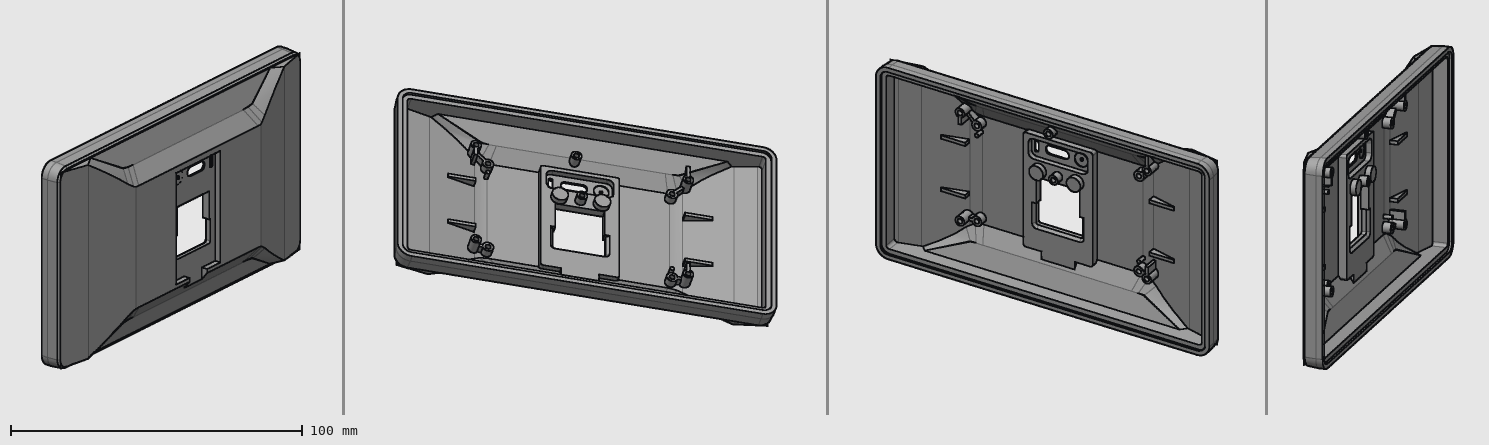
import cadquery as cq
import math


length = 133.8
height = 76.3
depth = 15.3
corner_radius = 5.0
rim_straight_depth = 2.5
rim_draft_depth = 6.5
rim_depth = 7.4
draft_inset = 0.4
rim_back_inset = 0.7

recess_border = 1.7
recess_depth = 1.0
opening_border = 3.6
opening_depth = 6.3
opening_radius = 1.2
opening_half_length = length / 2 - opening_border
opening_half_height = height / 2 - opening_border

floor_depth = 13.1
floor_bend_radius = 18.7
outer_end_profile = [(rim_depth, 65.5), (9.9, 53.8), (depth, 34.3)]
inner_end_profile = [(5.9, opening_half_length), (6.2, 62.2), (8.3, 53.8), (floor_depth, 34.5)]
outer_side_profile = [(rim_depth, 36.7), (10.7, 28.5)]
inner_side_profile = [(opening_depth, opening_half_height), (9.5, 27.3)]

outer_wall_lines = [
    ((10.7, 30.2, 28.5), (depth, 32.8, 22.7)),
    ((10.7, 32.9, 28.6), (depth, 35.3, 22.9)),
    ((10.6, 35.5, 29.0), (depth, 38.1, 23.8)),
    ((rim_depth, 49.2, 36.7), (depth, 63.4, 35.5)),
    ((rim_depth, length / 2, 36.7), (depth, length / 2, 35.5)),
]
inner_wall_lines = [
    ((9.5, 29.8, 27.3), (floor_depth, 31.6, 21.5)),
    ((9.5, 32.5, 27.3), (floor_depth, 35.0, 21.8)),
    ((9.5, 34.8, 27.5), (floor_depth, 39.2, 22.9)),
    ((opening_depth, 51.1, opening_half_height), (floor_depth, 57.3, opening_half_height)),
    ((opening_depth, length / 2, opening_half_height), (floor_depth, length / 2, opening_half_height)),
]

pad_front = 10.2
pad_back = 13.0
pad_half_width = 13.9
pad_top = 22.3
pad_bottom = -23.1
pad_corner_radius = 1.0
tab_half_width = 6.7
tab_bottom = -26.8
back_recess_border = 1.9

pocket_center_z = 16.7
pocket_width = 23.8
pocket_height = 8.0
pocket_radius = 2.3
pocket_depth = 2.1
long_slot_y = 1.6
long_slot_size = (9.4, 3.5)
short_slot_y = 9.9
short_slot_size = (1.6, 4.4)
slot_end_share = 0.49
dimple_y = -8.0
dimple_diameter = 5.4
dimple_depth = 0.3
dimple_hole_diameter = 1.1

window_top = 5.9
window_step = -4.7
window_bottom = -13.6
window_upper_half_width = 8.7
window_lower_half_width = 9.4
window_radius = 0.8
window_chamfer = 1.1
flare_share = 0.99

tall_boss_diameter = 3.6
low_boss_diameter = 3.9
boss_bore_diameter = 1.9
boss_bore_depth = 2.0
tall_boss_front = 7.1
low_boss_front = 10.0
boss_z = 19.0
outer_boss_y = 37.5
outer_boss_top_z = 24.1
inner_boss_y = 32.5
side_boss_position = (2.0, 26.6)
pad_boss_position = (0.0, 8.8)
rib_thickness = 1.2
ribs = [
    (outer_boss_y, outer_boss_top_z, 19.5),
    (-outer_boss_y, outer_boss_top_z, 30.1),
    (-outer_boss_y, -boss_z, -14.2),
]
pin_diameter = 1.5
pin_z = 15.1
fin_front = 9.6
fin_thickness = 1.3
fin_z = 10.5
fin_inner_y = 36.9
fin_outer_y = 46.7

disc_diameter = 5.6
disc_height = 2.1
disc_y = 7.5
disc_z = 8.8


def plane_at(x):
    """Workplane facing +X at depth x, with Y and Z as its own axes."""
    return cq.Workplane("YZ", origin=(x, 0, 0))


def box_between(x_range, y_range, z_range):
    """Box given by its lower and upper limits along each axis."""
    sizes = [limits[1] - limits[0] for limits in (x_range, y_range, z_range)]
    corner = (x_range[0], y_range[0], z_range[0])
    return cq.Workplane("XY").box(*sizes, centered=False).translate(corner)


def rounded_block(x_front, x_back, border, radius, back_inset=0):
    """Rounded block over the housing outline less a border, drawn in by back_inset at its back."""
    outline = cq.Sketch().rect(length - 2 * border, height - 2 * border).vertices().fillet(radius)
    block_depth = x_back - x_front
    taper = math.degrees(math.atan2(back_inset, block_depth))
    return plane_at(x_front).placeSketch(outline).extrude(block_depth, taper=taper)


def mirrored(profile):
    """Profile followed by its mirror image, as one closed outline."""
    return profile + [(x, -side) for x, side in reversed(profile)]


def end_prism(profile):
    """Full-height prism whose two ends slope in to the floor."""
    return cq.Workplane("XY").polyline(mirrored(profile)).close().extrude(height / 2, both=True)


def side_prism(profile):
    """Full-length prism whose two long sides slope in."""
    return cq.Workplane("XZ").polyline(mirrored(profile)).close().extrude(length / 2, both=True)


def wall_section(front, back, side):
    """Flat four-sided section through the body, spanned by a wall line and its image at -Z."""
    corners = [(x, side * y, z) for x, y, z in (front, back)]
    corners += [(x, y, -z) for x, y, z in reversed(corners)]
    return cq.Wire.makePolygon([cq.Vector(*corner) for corner in corners], close=True)


def waisted_body(wall_lines):
    """Body with ruled walls, narrow in the middle and widening to full height at both ends."""
    sections = [wall_section(*line, -1) for line in reversed(wall_lines)]
    sections += [wall_section(*line, 1) for line in wall_lines]
    return cq.Workplane(cq.Solid.makeLoft(sections, True))


def build_outside():
    """Housing without its cavity."""
    draft_radius = corner_radius - draft_inset
    rim = rounded_block(0, rim_straight_depth, 0, corner_radius)
    rim = rim.union(rounded_block(rim_straight_depth, rim_draft_depth, 0, corner_radius, draft_inset))
    rim = rim.union(rounded_block(rim_draft_depth, rim_depth, draft_inset, draft_radius, rim_back_inset))
    back = waisted_body(outer_wall_lines).union(side_prism(outer_side_profile))
    return rim.union(back.intersect(end_prism(outer_end_profile)))


def build_cavity():
    """Space inside the housing, with the shallow recess around the opening."""
    recess = rounded_block(0, recess_depth, recess_border, corner_radius - recess_border)
    opening = rounded_block(0, opening_depth, opening_border, opening_radius)
    ends = end_prism(inner_end_profile).edges("|Z and >X").fillet(floor_bend_radius)
    back = waisted_body(inner_wall_lines).union(side_prism(inner_side_profile)).intersect(ends)
    return recess.union(opening).union(back)


def build_pad():
    """Raised pad with a tab that runs into the bottom wall."""
    pad = box_between(
        (pad_front, depth), (-pad_half_width, pad_half_width), (pad_bottom, pad_top)
    ).edges("|X").fillet(pad_corner_radius)
    tab = box_between((pad_front, depth), (-tab_half_width, tab_half_width), (tab_bottom, 0))
    return pad.union(tab)


def back_recess():
    """Hollow behind the pad and its tab, open at the back and at the bottom wall."""
    border = back_recess_border
    hollow = box_between(
        (pad_back, depth),
        (border - pad_half_width, pad_half_width - border),
        (pad_bottom + border, pad_top - border),
    )
    channel_half_width = tab_half_width - border
    channel = box_between((pad_back, depth), (-channel_half_width, channel_half_width), (-height / 2, 0))
    return hollow.union(channel)


def upright_slot(y, size):
    """Slot with round ends through the pad, centred at y in the pocket."""
    width, tall = size
    slot = plane_at(pad_front).center(y, pocket_center_z).rect(width, tall).extrude(depth - pad_front)
    return slot.edges("|X").fillet(slot_end_share * min(size))


def pad_pocket():
    """Pocket in the top of the pad with two slots and a dimple with a small hole."""
    pocket = plane_at(pad_front).center(0, pocket_center_z).rect(pocket_width, pocket_height)
    pocket = pocket.extrude(pocket_depth).edges("|X").fillet(pocket_radius)
    dimple = plane_at(pad_front).center(dimple_y, pocket_center_z).circle(dimple_diameter / 2)
    dimple_hole = plane_at(pad_front).center(dimple_y, pocket_center_z).circle(dimple_hole_diameter / 2)
    cut = pocket.union(dimple.extrude(pocket_depth + dimple_depth))
    cut = cut.union(dimple_hole.extrude(depth - pad_front))
    for y, size in ((long_slot_y, long_slot_size), (short_slot_y, short_slot_size)):
        cut = cut.union(upright_slot(y, size))
    return cut


def pad_window():
    """Stepped window through the pad, with its wider lower part flared towards the front."""
    upper = box_between(
        (pad_front, depth), (-window_upper_half_width, window_upper_half_width), (window_step, window_top)
    )
    lower = box_between(
        (pad_front, depth), (-window_lower_half_width, window_lower_half_width), (window_bottom, window_step)
    ).edges("|X and <Z").fillet(window_radius)
    flare_half_width = window_lower_half_width + window_chamfer
    flare = box_between(
        (pad_front, pad_front + window_chamfer),
        (-flare_half_width, flare_half_width),
        (window_bottom - window_chamfer, window_step),
    )
    flare = flare.edges("|X and <Z").fillet(window_radius + window_chamfer)
    flare = flare.faces(">X").edges("not >Z").chamfer(flare_share * window_chamfer)
    return upper.union(lower).union(flare)


def post(x_front, y, z, diameter):
    """Round post from x_front to the back of the housing."""
    return plane_at(x_front).center(y, z).circle(diameter / 2).extrude(depth - x_front)


def web(x_front, start, end):
    """Thin upright wall between two (Y, Z) points, from x_front to the back of the housing."""
    run_y = end[0] - start[0]
    run_z = end[1] - start[1]
    middle = ((start[0] + end[0]) / 2, (start[1] + end[1]) / 2)
    angle = math.degrees(math.atan2(run_z, run_y))
    outline = cq.Sketch().rect(math.hypot(run_y, run_z), rib_thickness, angle=angle)
    return plane_at(x_front).center(*middle).placeSketch(outline).extrude(depth - x_front)


def tall_boss_places():
    """Y and Z of every boss that reaches furthest forward."""
    outer_places = [(side * outer_boss_y, z) for side in (-1, 1) for z in (-boss_z, outer_boss_top_z)]
    return [side_boss_position, pad_boss_position, *outer_places]


def low_boss_places():
    """Y and Z of every boss nearer the middle of the floor."""
    return [(side * inner_boss_y, z) for side in (-1, 1) for z in (-boss_z, boss_z)]


def boss_bore(x_front, y, z):
    """Blind screw hole in the front of a boss."""
    return plane_at(x_front).center(y, z).circle(boss_bore_diameter / 2).extrude(boss_bore_depth)


def build_supports():
    """Bosses, the webs that join them, ribs, locating pins and fins, not yet trimmed to the housing."""
    parts = [post(tall_boss_front, y, z, tall_boss_diameter) for y, z in tall_boss_places()]
    parts += [post(low_boss_front, y, z, low_boss_diameter) for y, z in low_boss_places()]
    for side in (-1, 1):
        outer_y = side * outer_boss_y
        inner_y = side * inner_boss_y
        parts.append(web(low_boss_front, (outer_y, outer_boss_top_z), (inner_y, boss_z)))
        parts.append(web(low_boss_front, (outer_y, -boss_z), (inner_y, -boss_z)))
        parts.append(post(low_boss_front, inner_y, side * pin_z, pin_diameter))
        for z in (-fin_z, fin_z):
            y_range = sorted((side * fin_inner_y, side * fin_outer_y))
            z_range = (z - fin_thickness / 2, z + fin_thickness / 2)
            parts.append(box_between((fin_front, depth), y_range, z_range))
    for y, boss_center_z, end_z in ribs:
        parts.append(web(tall_boss_front, (y, boss_center_z), (y, end_z)))
    return parts


def build_housing():
    outside = build_outside()
    housing = outside.cut(build_cavity())
    for part in [build_pad(), *build_supports()]:
        housing = housing.union(part.intersect(outside))
    bores = [boss_bore(tall_boss_front, *place) for place in tall_boss_places()]
    bores += [boss_bore(low_boss_front, *place) for place in low_boss_places()]
    for bore in bores:
        housing = housing.cut(bore)
    return housing.cut(back_recess()).cut(pad_pocket()).cut(pad_window())


def build_disc(y):
    """Solid disc standing on the front of the pad."""
    return plane_at(pad_front - disc_height).center(y, disc_z).circle(disc_diameter / 2).extrude(disc_height)


housing = build_housing()
discs = [build_disc(side * disc_y) for side in (-1, 1)]

result = cq.Compound.makeCompound([housing.val(), *[disc.val() for disc in discs]])